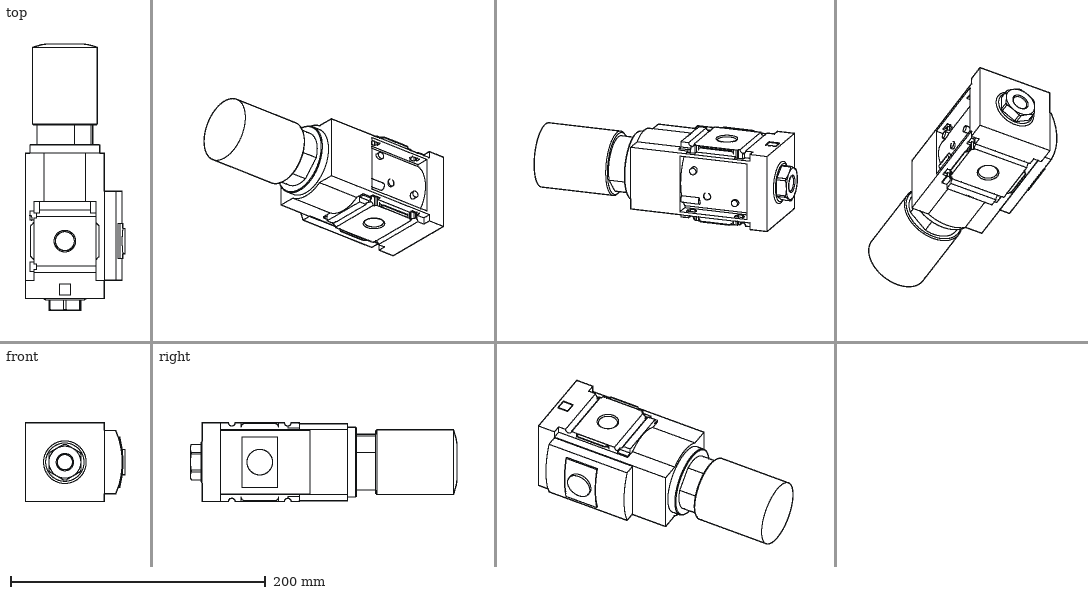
import cadquery as cq
import math


body_width = 62.0
body_length = 114.2
half_width = body_width / 2
base_length = 14.5
step_half_height = 25.5
barrel_diameter = 60.6

collar_diameter = 55.0
collar_top = 121.0
collar_chamfer = 0.6
neck_diameter = 44.0
neck_flat_distance = 19.9
neck_flat_angle = -45
knob_diameter = 51.0
knob_bottom = 136.1
knob_shoulder = 197.2
knob_top = 200.0
knob_top_flat_radius = 14.6
knob_rim_chamfer = 1.0
dome_bulge = 0.5

plate_half_width = 24.3
plate_end = 76.3
strip_half_width = 20.0
tab_top = 26.8
port_center = 45.2
port_diameter = 14.8
port_depth = 16.7
port_chamfer = 1.0
groove_diameter = 5.2
groove_offset = 22.0
marking_size = 8.5
marking_center = 7.1
marking_depth = 0.6

lip_reach = 2.7
lip_half_length = 14.6
lip_edge_thickness = 0.6
lip_height = 3.8
lip_gap = 0.2
lip_root = 1.0

slot_offset = 20.0
slot_outer_x = -27.4
slot_step_x = -24.0
slot_inner_x = -22.4
slot_wide = 7.1
slot_narrow = 4.2

window_bottom = 17.0
window_top = 73.0
window_half_height = 23.0
inner_cylinder_diameter = 58.5
inner_cylinder_half_height = 21.3
window_floor_x = -math.sqrt((inner_cylinder_diameter / 2) ** 2 - inner_cylinder_half_height**2)

window_pins = [
    (62.7, 11.0, 5.5, -30.0),
    (51.2, -8.5, 5.9, -28.6),
    (27.8, -11.3, 5.2, -30.0),
]
rod_length = 14.6
rod_diameter = 6.0
rod_x = -25.7
rod_z = -13.5

plug_collar_diameter = 33.5
plug_collar_tip_diameter = 30.1
plug_collar_height = 1.0
hex_across_flats = 25.0
hex_corner_diameter = 28.0
hex_chamfer_height = 0.6
plug_length = 9.2
drain_diameter = 12.0
drain_depth = 16.7
drain_chamfer = 0.8

gauge_bottom = base_length
gauge_length = 70.0
gauge_half_height = 24.9
gauge_side_x = 40.0
gauge_crown_x = 45.0
band_half_height = 19.9
band_width = 27.5
band_side_x = 43.0
band_crown_x = 45.5
button_diameter = 20.0
overall_width = 78.5
button_x = overall_width - half_width


def box(x_range, y_range, z_range):
    """Box between pairs of coordinates."""
    (x0, x1), (y0, y1), (z0, z1) = x_range, y_range, z_range
    return cq.Workplane("XY").box(x1 - x0, y1 - y0, z1 - z0, centered=False).translate((x0, y0, z0))


def y_cylinder(diameter, start, end, x=0.0, z=0.0):
    """Cylinder parallel to Y between two Y positions."""
    cylinder = cq.Solid.makeCylinder(
        diameter / 2, end - start, cq.Vector(x, start, z), cq.Vector(0, 1, 0)
    )
    return cq.Workplane(cylinder)


def y_cone(start_diameter, end_diameter, start, end):
    """Truncated cone on the regulator axis."""
    cone = cq.Solid.makeCone(
        start_diameter / 2, end_diameter / 2, end - start, cq.Vector(0, start, 0), cq.Vector(0, 1, 0)
    )
    return cq.Workplane(cone)


def centered(middle, size):
    """Start and end of a length about its middle."""
    return (middle - size / 2, middle + size / 2)


def make_block():
    """Square base, stepped body behind it and the round barrel inside the step."""
    full = (-half_width, half_width)
    base = box(full, (0, base_length), full)
    body = box(full, (0, body_length), (-step_half_height, step_half_height))
    barrel = y_cylinder(barrel_diameter, plate_end, body_length)
    return base.union(body).union(barrel)


def make_handle():
    """Collar, neck with two wrench flats, and domed knob."""
    collar = y_cylinder(collar_diameter, body_length, collar_top).faces(">Y").chamfer(collar_chamfer)
    neck = y_cylinder(neck_diameter, body_length, knob_bottom)
    flats = box(
        (-neck_flat_distance, neck_flat_distance),
        (body_length, knob_bottom),
        (-neck_diameter, neck_diameter),
    ).rotate((0, 0, 0), (0, 1, 0), neck_flat_angle)
    neck = neck.intersect(flats)
    knob_radius = knob_diameter / 2
    dome_middle = ((knob_radius + knob_top_flat_radius) / 2, (knob_shoulder + knob_top) / 2 + dome_bulge)
    knob = (
        cq.Workplane("XY")
        .moveTo(0, knob_bottom)
        .lineTo(knob_radius - knob_rim_chamfer, knob_bottom)
        .lineTo(knob_radius, knob_bottom + knob_rim_chamfer)
        .lineTo(knob_radius, knob_shoulder)
        .threePointArc(dome_middle, (knob_top_flat_radius, knob_top))
        .lineTo(0, knob_top)
        .close()
        .revolve(360, (0, 0, 0), (0, 1, 0))
    )
    return collar.union(neck).union(knob)


def make_lip():
    """Finger lip rooted in the -X edge of the plate, with a cove below and 45 degree ends."""
    top = half_width - lip_gap
    cove_top = top - lip_edge_thickness
    cove_bottom = half_width - lip_height
    tip = -plate_half_width - lip_reach
    diagonal = math.sqrt(0.5)
    cove_middle = (tip + lip_reach * diagonal, cove_bottom + (cove_top - cove_bottom) * diagonal)
    root = -plate_half_width + lip_root
    profile = (
        cq.Workplane("XZ")
        .moveTo(root, top)
        .lineTo(tip, top)
        .lineTo(tip, cove_top)
        .threePointArc(cove_middle, (-plate_half_width, cove_bottom))
        .lineTo(root, cove_bottom)
        .close()
        .extrude(2 * lip_half_length, both=True)
    )
    root_half_length = lip_half_length + lip_root
    apex_x = root - root_half_length
    outline = (
        cq.Workplane("XY")
        .polyline([(root, -root_half_length), (apex_x, 0), (root, root_half_length)])
        .close()
        .extrude(body_width)
    )
    return profile.intersect(outline).translate((0, port_center, 0))


def make_plate():
    """Connection plate on the +Z side, with end tabs, lips and two round grooves."""
    groove_centers = [port_center - groove_offset, port_center + groove_offset]
    wide = (-plate_half_width, plate_half_width)
    plate = box(wide, (base_length, groove_centers[1]), (0, half_width))
    strip = box((-strip_half_width, strip_half_width), (base_length, plate_end), (0, half_width))
    tabs = box(wide, (base_length, plate_end), (0, tab_top))
    plate = plate.union(strip).union(tabs)
    grooves = (
        cq.Workplane("YZ", origin=(-half_width, 0, half_width))
        .pushPoints([(center, 0) for center in groove_centers])
        .circle(groove_diameter / 2)
        .extrude(body_width)
    )
    plate = plate.cut(grooves)
    lip = make_lip()
    return plate.union(lip).union(lip.mirror("YZ"))


def make_port():
    """Blind round port entering from +Z, with a chamfered mouth."""
    hole = (
        cq.Workplane("XY", origin=(0, port_center, half_width))
        .circle(port_diameter / 2)
        .extrude(-port_depth)
    )
    mouth = cq.Solid.makeCone(
        port_diameter / 2 + port_chamfer,
        port_diameter / 2,
        port_chamfer,
        cq.Vector(0, port_center, half_width),
        cq.Vector(0, 0, -1),
    )
    return hole.union(cq.Workplane(mouth))


def make_latch_slot(center):
    """Stepped slot through the wall between the +Z side and the window."""
    depth = (inner_cylinder_half_height, half_width)
    outer = box((slot_outer_x, slot_step_x), centered(center, slot_wide), depth)
    inner = box((slot_step_x, slot_inner_x), centered(center, slot_narrow), depth)
    return outer.union(inner)


def make_window():
    """Recess in the -X side that bares the inner cylinder, its pins and a rod."""
    inside = (window_bottom, window_top)
    recess = box((-half_width, window_floor_x), inside, (-window_half_height, window_half_height))
    recess = recess.cut(y_cylinder(inner_cylinder_diameter, *inside))
    for y, z, diameter, tip_x in window_pins:
        recess = recess.cut(cq.Workplane("YZ", origin=(tip_x, y, z)).circle(diameter / 2).extrude(-tip_x))
    return recess.cut(y_cylinder(rod_diameter, window_top - rod_length, window_top, rod_x, rod_z))


def make_plug():
    """Drain plug: conical collar and hexagon with rounded corners and a chamfered end."""
    collar = y_cone(plug_collar_tip_diameter, plug_collar_diameter, -plug_collar_height, 0)
    across_corners = hex_across_flats / math.cos(math.pi / 6)
    chamfer_end = hex_chamfer_height - plug_length
    corners = y_cylinder(hex_corner_diameter, chamfer_end, 0)
    corners = corners.union(y_cone(hex_across_flats, hex_corner_diameter, -plug_length, chamfer_end))
    hexagon = (
        cq.Workplane("XZ")
        .polygon(6, across_corners)
        .extrude(plug_length)
        .rotate((0, 0, 0), (0, 1, 0), 30)
        .intersect(corners)
    )
    return collar.union(hexagon)


def make_drain():
    """Blind bore up the drain plug, with a chamfered mouth."""
    bore = y_cylinder(drain_diameter, -plug_length, drain_depth - plug_length)
    mouth_diameter = drain_diameter + 2 * drain_chamfer
    mouth = y_cone(mouth_diameter, drain_diameter, -plug_length, drain_chamfer - plug_length)
    return bore.union(mouth)


def make_housing():
    """Regulator body in one solid, alike on its +Z and -Z sides except for the marking recess."""
    housing = make_block().union(make_handle()).union(make_plug())
    plate = make_plate()
    housing = housing.union(plate).union(plate.mirror("XY")).cut(make_window())
    slots = [make_latch_slot(port_center + side * slot_offset) for side in (-1, 1)]
    for cutter in (make_port(), *slots):
        housing = housing.cut(cutter).cut(cutter.mirror("XY"))
    marking = box(
        centered(0, marking_size),
        centered(marking_center, marking_size),
        (half_width - marking_depth, half_width),
    )
    return housing.cut(marking).cut(make_drain())


def crowned_slab(half_height, side_x, crown_x, y_range):
    """Slab on the +X face of the housing, with a front that bulges to an arc."""
    return (
        cq.Workplane("XZ", origin=(0, y_range[1], 0))
        .moveTo(half_width, -half_height)
        .lineTo(side_x, -half_height)
        .threePointArc((crown_x, 0), (side_x, half_height))
        .lineTo(half_width, half_height)
        .close()
        .extrude(y_range[1] - y_range[0])
    )


def make_gauge():
    """Gauge with a crowned front, a raised band across it and a round button."""
    case = crowned_slab(
        gauge_half_height, gauge_side_x, gauge_crown_x, (gauge_bottom, gauge_bottom + gauge_length)
    )
    band = crowned_slab(band_half_height, band_side_x, band_crown_x, centered(port_center, band_width))
    button = (
        cq.Workplane("YZ", origin=(half_width, port_center, 0))
        .circle(button_diameter / 2)
        .extrude(button_x - half_width)
    )
    return case.union(band).union(button)


housing = make_housing()
gauge = make_gauge()
result = cq.Compound.makeCompound([housing.val(), gauge.val()])